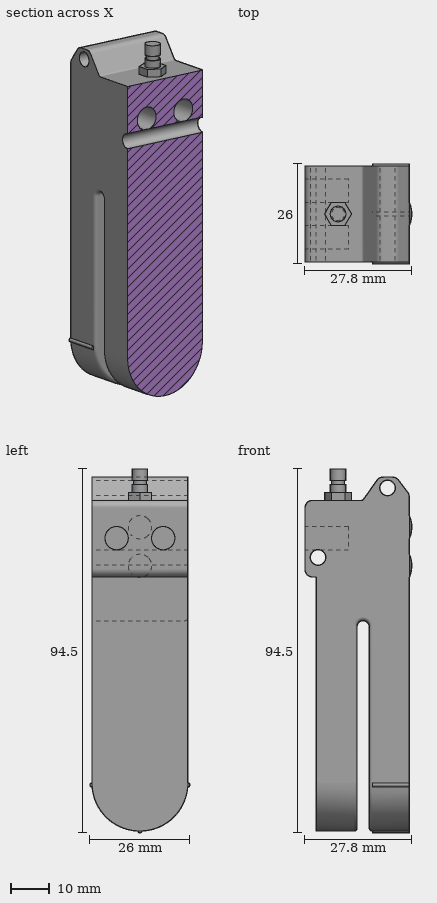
import cadquery as cq

body_width = 24.95
back_x = 27.1
leg_x = 2.9
head_bottom_z = 66.4
head_top_z = 86.4
head_radius = 2.0
body_bottom_z = 0.5
end_radius = body_width / 2
end_center_z = body_bottom_z + end_radius

lug_start_x = 15.0
lug_top_left_x = 19.3
lug_top_right_x = 23.7
lug_top_z = 92.4
lug_shoulder_z = 87.9
lug_radius = 2.0
lug_valley_radius = 0.8

cross_hole_diameter = 4.0
lug_hole = (21.45, 89.6)
head_hole = (3.4, 71.5)

port_diameter = 6.05
port_spacing = 12.1
port_z = 76.5
port_depth = 11.3

slot_center_x = 15.1
slot_width = 3.1
slot_top_z = 55.1
slot_edge_radius = 0.9

rod_radius = 0.52
rod_z = 12.5

button_diameter = 6.05
button_height = 0.7
button_heights_z = (69.4, 79.4)

fitting_x = 8.6
hex_corner_diameter = 7.0
hex_height = 2.1
stem_diameter = 4.1
neck_diameter = 3.4
stem_top_z = 90.4
neck_top_z = 91.6
fitting_top_z = 94.5

embed = 0.5


def along_y(sketch, length):
    """Extrude an XZ sketch symmetrically about Y = 0."""
    return sketch.extrude(length / 2, both=True)


def edges_at(shape, x, z):
    """Select the Y-direction edge passing through (x, z)."""
    reach = 0.1
    selector = cq.selectors.BoxSelector(
        (x - reach, -reach, z - reach), (x + reach, reach, z + reach)
    )
    return shape.edges("|Y").edges(selector)


def make_body():
    profile = cq.Workplane("XZ").polyline([
        (leg_x, body_bottom_z),
        (leg_x, head_bottom_z),
        (0, head_bottom_z),
        (0, head_top_z),
        (lug_start_x, head_top_z),
        (lug_top_left_x, lug_top_z),
        (lug_top_right_x, lug_top_z),
        (back_x, lug_shoulder_z),
        (back_x, body_bottom_z),
    ]).close()
    body = along_y(profile, body_width)
    rounds = (
        (0, head_bottom_z, head_radius),
        (0, head_top_z, head_radius),
        (lug_start_x, head_top_z, lug_valley_radius),
        (lug_top_left_x, lug_top_z, lug_radius),
        (lug_top_right_x, lug_top_z, lug_radius),
        (back_x, lug_shoulder_z, lug_radius),
    )
    for x, z, radius in rounds:
        body = edges_at(body, x, z).fillet(radius)

    half_width = body_width / 2
    outline = (
        cq.Workplane("YZ")
        .moveTo(-half_width, end_center_z)
        .threePointArc((0, body_bottom_z), (half_width, end_center_z))
        .lineTo(half_width, fitting_top_z)
        .lineTo(-half_width, fitting_top_z)
        .close()
        .extrude(back_x)
    )
    return body.intersect(outline)


def cut_slot(body):
    half_slot = slot_width / 2
    slot = (
        cq.Workplane("XZ")
        .moveTo(slot_center_x - half_slot, 0)
        .lineTo(slot_center_x - half_slot, slot_top_z - half_slot)
        .threePointArc((slot_center_x, slot_top_z), (slot_center_x + half_slot, slot_top_z - half_slot))
        .lineTo(slot_center_x + half_slot, 0)
        .close()
    )
    body = body.cut(along_y(slot, body_width))
    margin = 0.01
    rim = cq.selectors.BoxSelector(
        (slot_center_x - half_slot - margin, -body_width, 0),
        (slot_center_x + half_slot + margin, body_width, slot_top_z + margin),
        boundingbox=True,
    )
    return body.edges(rim).edges("not |Y").fillet(slot_edge_radius)


def cut_holes(body):
    cross_holes = (
        cq.Workplane("XZ").pushPoints([lug_hole, head_hole]).circle(cross_hole_diameter / 2)
    )
    ports = (
        cq.Workplane("YZ")
        .pushPoints([(-port_spacing / 2, port_z), (port_spacing / 2, port_z)])
        .circle(port_diameter / 2)
        .extrude(port_depth)
    )
    return body.cut(along_y(cross_holes, body_width)).cut(ports)


def make_rods():
    start_x = slot_center_x + slot_width / 2 + slot_edge_radius
    return (
        cq.Workplane("YZ", origin=(start_x, 0, 0))
        .pushPoints([(-body_width / 2, rod_z), (body_width / 2, rod_z), (0, rod_radius)])
        .circle(rod_radius)
        .extrude(back_x - start_x)
    )


def make_button(z):
    """Shallow spherical dome on a short cylinder sunk into the block."""
    radius = button_diameter / 2
    sphere_radius = (radius**2 + button_height**2) / (2 * button_height)
    return (
        cq.Workplane("XZ", origin=(back_x, 0, z))
        .moveTo(-embed, 0)
        .lineTo(-embed, radius)
        .lineTo(0, radius)
        .radiusArc((button_height, 0), sphere_radius)
        .close()
        .revolve(360, (0, 0), (1, 0))
    )


def make_fitting():
    hex_top_z = head_top_z + hex_height
    fitting = (
        cq.Workplane("XY", origin=(fitting_x, 0, head_top_z - embed))
        .polygon(6, hex_corner_diameter)
        .extrude(hex_height + embed)
    )
    sections = (
        (stem_diameter, hex_top_z, stem_top_z),
        (neck_diameter, stem_top_z, neck_top_z),
        (stem_diameter, neck_top_z, fitting_top_z),
    )
    for diameter, bottom_z, top_z in sections:
        section = (
            cq.Workplane("XY", origin=(fitting_x, 0, bottom_z))
            .circle(diameter / 2)
            .extrude(top_z - bottom_z)
        )
        fitting = fitting.union(section)
    return fitting


result = cut_holes(cut_slot(make_body()))
result = result.union(make_rods()).union(make_fitting())
for button_z in button_heights_z:
    result = result.union(make_button(button_z))